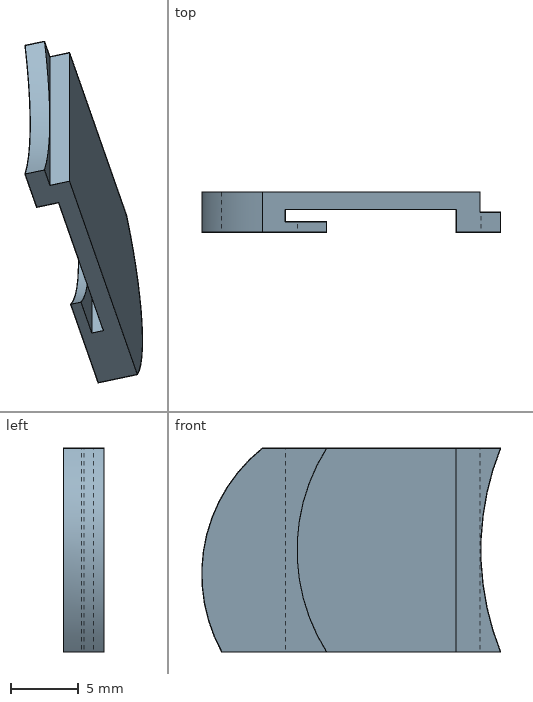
import cadquery as cq

length = 22.0
depth = 3.0
height = 15.0

end_bottom_x = 1.47
end_top_x = 4.47
end_tangent_z = 5.72

plate_thickness = 1.32
lip_thickness = 0.8
flange_thickness = 1.5
slot_start_x = 6.15
rail_start_x = 18.72
plate_end_x = 20.48

lip_corner_x = 9.2
lip_middle_x = 7.02
concave_depth = 1.45

middle_z = height / 2
plate_front_y = depth - plate_thickness


def extrude_along_y(outline, start_y, end_y):
    """Extrude a closed XZ outline between two Y positions."""
    return outline.extrude(-(end_y - start_y)).translate((0, start_y, 0))


def make_blank():
    """Full-depth body with a convex left end and a concave right end."""
    outline = (
        cq.Workplane("XZ")
        .moveTo(end_bottom_x, 0)
        .lineTo(length, 0)
        .threePointArc((length - concave_depth, middle_z), (length, height))
        .lineTo(end_top_x, height)
        .threePointArc((0, end_tangent_z), (end_bottom_x, 0))
        .close()
    )
    return extrude_along_y(outline, 0, depth)


def make_channel():
    """Straight channel between the slot wall and the rail, behind the lip."""
    outline = cq.Workplane("XZ").moveTo(slot_start_x, 0).lineTo(rail_start_x, 0)
    outline = outline.lineTo(rail_start_x, height).lineTo(slot_start_x, height).close()
    return extrude_along_y(outline, lip_thickness, plate_front_y)


def make_lip_opening():
    """Opening in the front layer, from the curved lip edge to the rail."""
    outline = (
        cq.Workplane("XZ")
        .moveTo(lip_corner_x, 0)
        .lineTo(rail_start_x, 0)
        .lineTo(rail_start_x, height)
        .lineTo(lip_corner_x, height)
        .threePointArc((lip_middle_x, middle_z), (lip_corner_x, 0))
        .close()
    )
    return extrude_along_y(outline, 0, lip_thickness)


def make_back_step():
    """Step at the back of the concave end that leaves a thinner flange."""
    step_size = (length - plate_end_x, depth - flange_thickness, height)
    step = cq.Workplane("XY").box(*step_size, centered=False)
    return step.translate((plate_end_x, flange_thickness, 0))


result = make_blank().cut(make_channel()).cut(make_lip_opening()).cut(make_back_step())